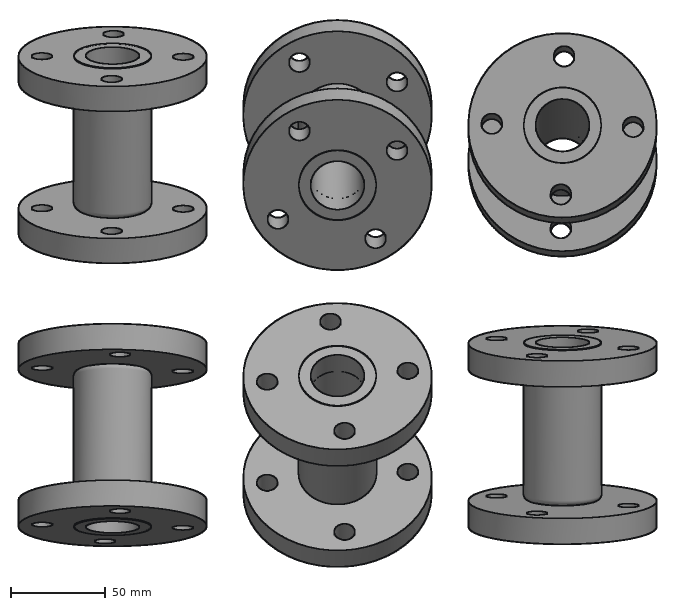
import cadquery as cq

overall_length = 100.0
flange_diameter = 100.0

flange_thickness = 14.0
raised_face_diameter = 41.0
raised_face_height = 0.5

bolt_spacing = 53.0
bolt_hole_diameter = 11.0

body_diameter = 41.5
body_edge_radius = 3.0
neck_base_diameter = 34.0
neck_tip_diameter = 29.6
neck_length = 0.7
bore_diameter = 28.4

flange_outer_z = overall_length / 2 - raised_face_height
flange_inner_z = flange_outer_z - flange_thickness
body_end_z = flange_inner_z - neck_length


def cylinder(diameter, bottom, height):
    """Solid disc or shaft on the Z axis, starting at the given height."""
    return cq.Workplane("XY").workplane(offset=bottom).circle(diameter / 2).extrude(height)


def upper_neck():
    """Shallow cone narrowing from the top of the body to the upper flange."""
    return (
        cq.Workplane("XZ")
        .moveTo(0, body_end_z)
        .lineTo(neck_base_diameter / 2, body_end_z)
        .lineTo(neck_tip_diameter / 2, flange_inner_z)
        .lineTo(0, flange_inner_z)
        .close()
        .revolve(360, (0, 0, 0), (0, 1, 0))
    )


def upper_flange():
    """Flange disc pierced by the bolt holes and topped by its raised face."""
    bolt_holes = (
        cq.Workplane("XY")
        .workplane(offset=flange_inner_z)
        .rect(bolt_spacing, bolt_spacing, forConstruction=True)
        .vertices()
        .circle(bolt_hole_diameter / 2)
        .extrude(flange_thickness)
    )
    disc = cylinder(flange_diameter, flange_inner_z, flange_thickness).cut(bolt_holes)
    return disc.union(cylinder(raised_face_diameter, flange_outer_z, raised_face_height))


body = cylinder(body_diameter, -body_end_z, 2 * body_end_z).edges().fillet(body_edge_radius)

upper_end = upper_neck().union(upper_flange())
lower_end = upper_end.mirror("XY")

bore = cylinder(bore_diameter, -overall_length / 2, overall_length)
result = body.union(upper_end).union(lower_end).cut(bore)